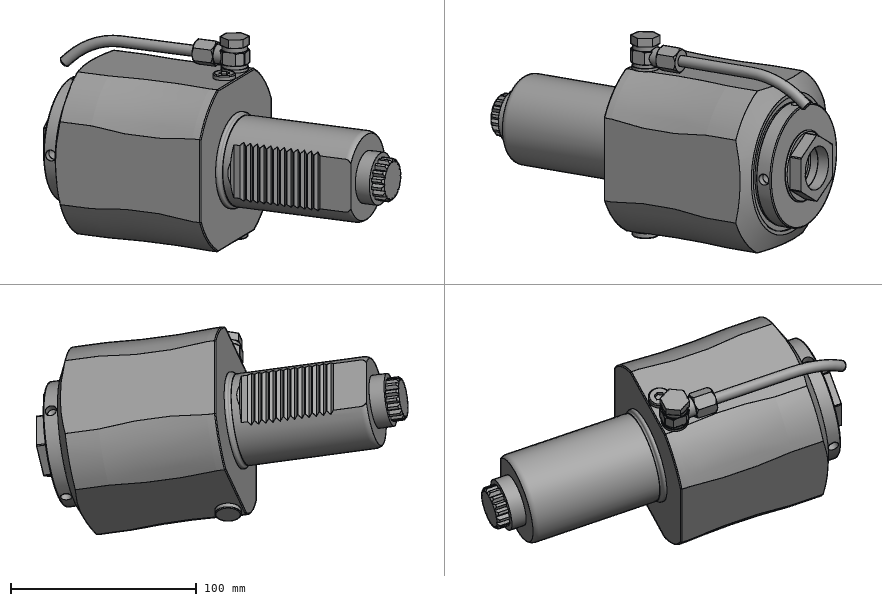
import cadquery as cq
import math


overall_height = 112.3

housing_width = 91.0
housing_half = housing_width / 2
housing_front = -89.5
corner_radius = 51.0
waist_radius = 50.0
waist_start = -64.9
waist_end = -4.9
cone_end = -83.6
cone_front_radius = 39.0
rear_chamfer = 0.6
recess_radius = 37.0
recess_depth = 1.0

collar_front = -98.9
collar_radius = 34.2
collar_chamfer = 0.6
pad_radius = 19.7
pad_front = -99.9
pad_chamfer = 0.71
hole_radius = 3.0
hole_depth = 4.0
hole_point_depth = 1.8
hole_x = -94.4

nose_front = -107.0
nose_corner_radius = 18.7
nose_round_radius = 18.5
bore_radius = 12.0
bore_step = 0.2
bore_depths = (6.7, 11.2, 12.5)

flange_radius = 26.5
flange_rim_length = 0.8
flange_blend_length = 2.5
neck_end = 3.5
neck_radius = 24.6
shank_end = 77.5
shank_radius = 25.0
shank_round_length = 3.0
shank_end_radius = 23.8

flat_start = 8.0
flat_depth = 4.9
flat_lead_length = 1.32
flat_lead_depth = 0.71
groove_count = 12
first_groove_x = 13.2
last_groove_x = 57.4
groove_width = 3.5
groove_depth = 1.32

boss_end = 85.9
boss_radius = 14.5
spline_end = 93.0
spline_radius = 11.8
spline_chamfer = 1.2
spline_count = 16
spline_groove_width = 3.3
spline_groove_depth = 1.8

top_plug_x = -7.1
top_plug_radius = 6.1
top_plug_height = 2.6
top_plug_chamfer = 0.6
socket_corner_radius = 2.8
socket_depth = 2.0
bottom_plug_radius = 7.1
bottom_plug_height = 2.8
bottom_plug_chamfer = 0.5

fitting_x = -8.7
fitting_y = 16.9
fitting_top = overall_height - housing_half - bottom_plug_height
head_bottom = 59.2
head_corner_radius = 8.0
stem_radius = 7.0
washer_radius = 7.3
washer_height = 1.6
block_half_length = 7.5
block_half_width = 7.1
block_round_radius = 8.1
block_round_chamfer = 0.6
block_chamfer = 3.7
block_height = 7.5
pipe_z = 52.9
connector_radius = 5.3
nut_front = -31.3
nut_rear = -19.1
nut_corner_radius = 7.1
nut_chamfer = 1.0

pipe_radius = 3.0
bend_start = -76.5
bend_radius = 40.7
bend_angle = math.radians(45)
bend_tilt = math.radians(15)
tip_length = 5.0
tip_chamfer = 0.8


def revolve_about_x(outline):
    return outline.close().revolve(360, (0, 0), (1, 0))


def rod_x(start, end, radius):
    return cq.Workplane("YZ", origin=(start, 0, 0)).circle(radius).extrude(end - start)


def rod_z(x, y, bottom, top, radius):
    return cq.Workplane("XY", origin=(x, y, bottom)).circle(radius).extrude(top - bottom)


def hexagon(radius):
    """Corner points of a hexagon with two corners on its local Y axis."""
    angles = [math.radians(90 + 60 * i) for i in range(6)]
    return [(radius * math.cos(a), radius * math.sin(a)) for a in angles]


def make_housing():
    """Waisted round body with a conical front, cut to four flats."""
    length = -housing_front
    turned = revolve_about_x(
        cq.Workplane("XY")
        .moveTo(housing_front, 0)
        .lineTo(housing_front, cone_front_radius)
        .lineTo(cone_end, corner_radius)
        .lineTo(waist_start, corner_radius)
        .threePointArc(((waist_start + waist_end) / 2, waist_radius), (waist_end, corner_radius))
        .lineTo(-rear_chamfer, corner_radius)
        .lineTo(0, corner_radius - rear_chamfer)
        .lineTo(0, 0)
    )
    square = (
        cq.Workplane("XY")
        .box(length, 2 * housing_half, 2 * housing_half)
        .translate((-length / 2, 0, 0))
        .faces(">X")
        .chamfer(rear_chamfer)
    )
    recess = rod_x(housing_front, housing_front + recess_depth, recess_radius)
    return turned.intersect(square).cut(recess)


def make_collar():
    """Front ring in the housing recess, with a raised pad and four pointed radial holes."""
    collar = rod_x(collar_front, housing_front, collar_radius).faces("<X or >X").chamfer(collar_chamfer)
    seat = rod_x(housing_front, housing_front + recess_depth, collar_radius - collar_chamfer)
    pad = rod_x(pad_front, collar_front, pad_radius).faces("<X").chamfer(pad_chamfer)
    collar = collar.union(pad).union(seat)
    hole_bottom = collar_radius - hole_depth
    drill = (
        cq.Workplane("XZ")
        .moveTo(0, hole_bottom - hole_point_depth)
        .lineTo(hole_radius, hole_bottom)
        .lineTo(hole_radius, collar_radius + hole_depth)
        .lineTo(0, collar_radius + hole_depth)
        .close()
        .revolve(360, (0, 0), (0, 1))
        .translate((hole_x, 0, 0))
    )
    for i in range(4):
        collar = collar.cut(drill.rotate((0, 0, 0), (1, 0, 0), 90 * i))
    return collar


def make_nose():
    """Hexagon with rounded-off corners."""
    hexagonal = (
        cq.Workplane("YZ", origin=(nose_front, 0, 0))
        .polyline(hexagon(nose_corner_radius))
        .close()
        .extrude(pad_front - nose_front)
    )
    return hexagonal.intersect(rod_x(nose_front, pad_front, nose_round_radius))


def make_nose_bore():
    """Blind bore that narrows slightly at each step."""
    bore = cq.Workplane("YZ")
    for i, depth in enumerate(bore_depths):
        bore = bore.union(rod_x(nose_front, nose_front + depth, bore_radius - i * bore_step))
    return bore


def make_shank():
    """Flange, neck, cylindrical shank with a rounded end, and drive boss."""
    half_blend = (flange_blend_length / 2, (neck_radius - flange_radius) / 2)
    round_start = shank_end - shank_round_length
    return revolve_about_x(
        cq.Workplane("XY")
        .moveTo(0, 0)
        .lineTo(0, flange_radius)
        .lineTo(flange_rim_length, flange_radius)
        .tangentArcPoint(half_blend)
        .tangentArcPoint(half_blend)
        .lineTo(neck_end, neck_radius)
        .lineTo(neck_end, shank_radius)
        .lineTo(round_start, shank_radius)
        .tangentArcPoint((shank_end, shank_end_radius), relative=False)
        .lineTo(shank_end, boss_radius)
        .lineTo(boss_end, boss_radius)
        .lineTo(boss_end, 0)
    )


def make_flat_cutter():
    """Side flat with a sloped lead-in and a row of V grooves."""
    flat_y = flat_depth - shank_radius
    outside = -2 * shank_radius
    flat = (
        cq.Workplane("XY", origin=(0, 0, -shank_radius))
        .moveTo(flat_start, flat_y)
        .lineTo(flat_start, flat_lead_depth - shank_radius)
        .lineTo(flat_start - flat_lead_length, -shank_radius)
        .lineTo(flat_start - flat_lead_length, outside)
        .lineTo(shank_end, outside)
        .lineTo(shank_end, flat_y)
        .close()
        .extrude(2 * shank_radius)
    )
    pitch = (last_groove_x - first_groove_x) / (groove_count - 1)
    for i in range(groove_count):
        x = first_groove_x + i * pitch
        groove = (
            cq.Workplane("XY", origin=(x, flat_y, -shank_radius))
            .moveTo(-groove_width / 2, 0)
            .lineTo(0, groove_depth)
            .lineTo(groove_width / 2, 0)
            .close()
            .extrude(2 * shank_radius)
        )
        flat = flat.union(groove)
    return flat


def make_spline():
    """Drive stub with V grooves all around and a chamfered end."""
    spline = rod_x(boss_end, spline_end, spline_radius).faces(">X").chamfer(spline_chamfer)
    groove = (
        cq.Workplane("YZ", origin=(boss_end, 0, 0))
        .moveTo(-spline_radius, spline_groove_width / 2)
        .lineTo(-spline_radius + spline_groove_depth, 0)
        .lineTo(-spline_radius, -spline_groove_width / 2)
        .close()
        .extrude(spline_end - boss_end)
    )
    for i in range(spline_count):
        spline = spline.cut(groove.rotate((0, 0, 0), (1, 0, 0), 360 * i / spline_count))
    return spline


def make_fitting():
    """Bolt, washer and connector block with the pipe nut on its front side."""
    head = (
        cq.Workplane("XY", origin=(fitting_x, fitting_y, head_bottom))
        .polyline(hexagon(head_corner_radius))
        .close()
        .extrude(fitting_top - head_bottom)
    )
    stem = rod_z(fitting_x, fitting_y, housing_half, head_bottom, stem_radius)
    washer = rod_z(fitting_x, fitting_y, housing_half, housing_half + washer_height, washer_radius)
    block = (
        cq.Workplane("XY")
        .box(2 * block_half_length, 2 * block_half_width, block_height)
        .edges("|Z")
        .chamfer(block_chamfer)
        .intersect(
            rod_z(0, 0, -block_height / 2, block_height / 2, block_round_radius)
            .faces("<Z or >Z")
            .chamfer(block_round_chamfer)
        )
        .translate((fitting_x, fitting_y, pipe_z))
    )
    connector = rod_x(nut_rear, fitting_x, connector_radius)
    nut = (
        cq.Workplane("YZ", origin=(nut_front, 0, 0))
        .polyline(hexagon(nut_corner_radius))
        .close()
        .extrude(nut_rear - nut_front)
        .intersect(rod_x(nut_front, nut_rear, nut_corner_radius).faces("<X or >X").chamfer(nut_chamfer))
    )
    side_branch = connector.union(nut).translate((0, fitting_y, pipe_z))
    return head.union(stem).union(washer).union(block).union(side_branch)


def make_pipe():
    """Straight pipe ending in a bend that leans down toward the tool axis."""
    straight = nut_front - bend_start
    bend_plane = cq.Plane(
        origin=(nut_front, fitting_y, pipe_z),
        xDir=(-1, 0, 0),
        normal=(0, -math.cos(bend_tilt), math.sin(bend_tilt)),
    )

    def on_bend(angle):
        return straight + bend_radius * math.sin(angle), bend_radius * (1 - math.cos(angle))

    bend_x, bend_y = on_bend(bend_angle)
    tip = (bend_x + tip_length * math.cos(bend_angle), bend_y + tip_length * math.sin(bend_angle))
    path = (
        cq.Workplane(bend_plane)
        .lineTo(straight, 0)
        .threePointArc(on_bend(bend_angle / 2), (bend_x, bend_y))
        .lineTo(*tip)
    )
    pipe = cq.Workplane("YZ", origin=(nut_front, fitting_y, pipe_z)).circle(pipe_radius).sweep(path)
    tip_point = bend_plane.toWorldCoords(tip).toTuple()
    return pipe.faces(cq.selectors.NearestToPointSelector(tip_point)).chamfer(tip_chamfer)


def make_top_plug():
    plug = rod_z(top_plug_x, 0, housing_half, housing_half + top_plug_height, top_plug_radius)
    plug = plug.faces(">Z").chamfer(top_plug_chamfer)
    socket = plug.faces(">Z").workplane().polyline(hexagon(socket_corner_radius)).close()
    return socket.cutBlind(-socket_depth)


def make_bottom_plug():
    bottom = -housing_half - bottom_plug_height
    plug = rod_z(fitting_x, fitting_y, bottom, -housing_half, bottom_plug_radius)
    return plug.faces("<Z").chamfer(bottom_plug_chamfer)


result = (
    make_housing()
    .union(make_collar())
    .union(make_nose())
    .cut(make_nose_bore())
    .union(make_shank().cut(make_flat_cutter()))
    .union(make_spline())
    .union(make_fitting())
    .union(make_pipe())
    .union(make_top_plug())
    .union(make_bottom_plug())
)